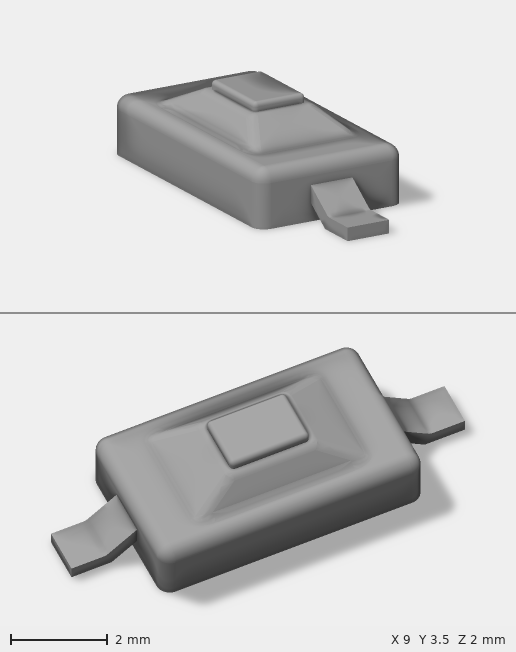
import cadquery as cq

body_length = 6.0
body_width = 3.5
body_height = 1.3
edge_radius = 0.3

dome_base_length = 4.0
dome_base_width = 2.5
dome_top_length = 2.0
dome_top_width = 1.49
dome_top_z = 1.8
dome_radius = 0.3

button_length = 1.8
button_width = 1.24
button_top_z = 2.0
button_radius = 0.1

overall_length = 9.0
lead_width = 1.0
lead_thickness = 0.3
foot_top_length = 0.79
foot_bottom_length = 0.92
lead_rise = 0.7
bend_radius = 0.18
lead_embed = 0.09


def make_body():
    body = cq.Workplane("XY").box(body_length, body_width, body_height, centered=(True, True, False))
    return body.edges("|Z or >Z").fillet(edge_radius)


def make_dome():
    dome = (
        cq.Workplane("XY", origin=(0, 0, body_height))
        .rect(dome_base_length, dome_base_width)
        .workplane(offset=dome_top_z - body_height)
        .rect(dome_top_length, dome_top_width)
        .loft(ruled=True)
    )
    return dome.edges("not <Z").fillet(dome_radius)


def make_button():
    height = button_top_z - body_height
    button = (
        cq.Workplane("XY", origin=(0, 0, body_height))
        .box(button_length, button_width, height, centered=(True, True, False))
    )
    return button.edges("|Z or >Z").fillet(button_radius)


def blend_dome_foot(solid):
    """Add the concave fillet where the dome meets the flat top of the housing."""
    reach = 0.01
    foot_edges = cq.selectors.BoxSelector(
        (-dome_base_length / 2 - reach, -dome_base_width / 2 - reach, body_height - reach),
        (dome_base_length / 2 + reach, dome_base_width / 2 + reach, body_height + reach),
    )
    return solid.edges(foot_edges).fillet(dome_radius)


def make_lead():
    """Terminal on the -X end: a flat foot, then a ramp up into the housing."""
    tip_x = -overall_length / 2
    inner_x = -body_length / 2 + lead_embed
    top_bend_x = tip_x + foot_top_length
    bottom_bend_x = tip_x + foot_bottom_length
    profile = [
        (tip_x, 0),
        (bottom_bend_x, 0),
        (inner_x, lead_rise * (inner_x - bottom_bend_x)),
        (inner_x, lead_thickness + lead_rise * (inner_x - top_bend_x)),
        (top_bend_x, lead_thickness),
        (tip_x, lead_thickness),
    ]
    lead = cq.Workplane("XZ").polyline(profile).close().extrude(lead_width / 2, both=True)
    upper_bend = cq.selectors.NearestToPointSelector((top_bend_x, 0, lead_thickness))
    return lead.edges("|Y").edges(upper_bend).fillet(bend_radius)


lead = make_lead()
result = blend_dome_foot(make_body().union(make_dome()))
result = result.union(make_button()).union(lead).union(lead.mirror("YZ"))